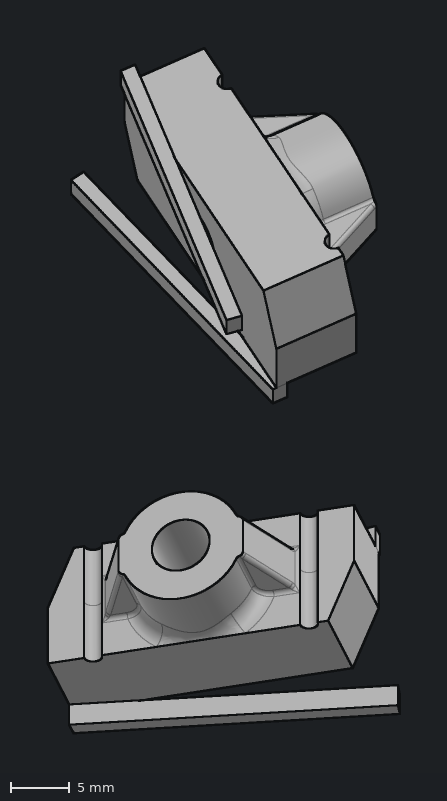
import cadquery as cq
import math

BLOCK_LENGTH = 27.1
BLOCK_DEPTH = 7.75
BLOCK_HEIGHT = 11.34
CORNER_CUT = 2.3

ARM_HEIGHT = 2.05
ARM_THICKNESS = 1.4
ARM_ANGLE = math.radians(9.5)
UPPER_ARM_REACH = 14.0
LOWER_ARM_REACH = 14.24
ARM_TIP_Y = -12.7

HUB_RADIUS = 5.4
HUB_LENGTH = 6.35
HUB_BASE_FILLET = 1.5
BORE_DIAMETER = 5.1

GUSSET_WIDTH = 4.0
GUSSET_TOP_X = 5.5
GUSSET_BASE_X = 8.5
GUSSET_FILLET = 0.4

GROOVE_X = 9.55
GROOVE_RADIUS = 0.78

SELECT_MARGIN = 0.05


def make_block():
    half_length = BLOCK_LENGTH / 2
    half_height = BLOCK_HEIGHT / 2
    outline = [
        (-half_length, half_height),
        (half_length - CORNER_CUT, half_height),
        (half_length, 0),
        (half_length, -half_height),
        (-half_length + CORNER_CUT, -half_height),
        (-half_length, 0),
    ]
    return cq.Workplane("XZ").polyline(outline).close().extrude(BLOCK_DEPTH)


def add_hub(block):
    hub = cq.Workplane("XZ").circle(HUB_RADIUS).extrude(-HUB_LENGTH)
    joined = block.union(hub)
    reach = HUB_RADIUS + SELECT_MARGIN
    base_edge = cq.selectors.BoxSelector(
        (-reach, -SELECT_MARGIN, -reach),
        (reach, SELECT_MARGIN, reach),
        boundingbox=True,
    )
    return joined.edges(base_edge).fillet(HUB_BASE_FILLET)


def make_gusset(side):
    """Tapered rib on one side of the hub; side is +1 or -1."""
    outline = [
        (0, 0),
        (side * GUSSET_BASE_X, 0),
        (side * GUSSET_TOP_X, HUB_LENGTH),
        (0, HUB_LENGTH),
    ]
    return cq.Workplane("XY").polyline(outline).close().extrude(GUSSET_WIDTH / 2, both=True)


def box_around(center_x, center_y, half_x, half_y):
    """Select edges whose centers lie in a box as wide in Z as the gussets."""
    half_z = GUSSET_WIDTH / 2 + SELECT_MARGIN
    return cq.selectors.BoxSelector(
        (center_x - half_x, center_y - half_y, -half_z),
        (center_x + half_x, center_y + half_y, half_z),
    )


def add_gussets(body):
    """Add both gussets, blend them into hub and block, then round their sloped edges."""
    for side in (-1, 1):
        body = body.union(make_gusset(side))

    slope_x = (GUSSET_BASE_X + GUSSET_TOP_X) / 2
    slope_y = HUB_LENGTH / 2
    half_slope = (GUSSET_BASE_X - GUSSET_TOP_X) / 4
    right_slope = box_around(slope_x, slope_y, half_slope, half_slope)
    left_slope = box_around(-slope_x, slope_y, half_slope, half_slope)
    sloped_edges = right_slope + left_slope

    reach_x = GUSSET_BASE_X + SELECT_MARGIN
    below_hub_end = HUB_LENGTH - SELECT_MARGIN
    gusset_edges = box_around(0, below_hub_end / 2, reach_x, below_hub_end / 2 + SELECT_MARGIN)
    body = body.edges(gusset_edges - sloped_edges).fillet(GUSSET_FILLET)
    return body.edges(sloped_edges).fillet(GUSSET_FILLET)


def make_arm(side, reach):
    """Spring arm from the block end to a free end; side +1 lies above, ending at +X, -1 the opposite."""
    across = (ARM_THICKNESS * math.sin(ARM_ANGLE), ARM_THICKNESS * math.cos(ARM_ANGLE))
    front_tip = (reach - across[0], ARM_TIP_Y)
    back_tip = (reach, ARM_TIP_Y + across[1])
    root_x = -BLOCK_LENGTH / 2
    front_root = (root_x, front_tip[1] + (front_tip[0] - root_x) * math.tan(ARM_ANGLE))
    back_root = (root_x, front_root[1] + ARM_THICKNESS / math.cos(ARM_ANGLE))
    corners = [front_tip, back_tip, back_root, front_root]
    outline = [(side * x, y) for x, y in corners]
    start = side * BLOCK_HEIGHT / 2
    return cq.Workplane("XY").workplane(offset=start).polyline(outline).close().extrude(side * ARM_HEIGHT)


def cut_grooves(body):
    grooves = cq.Workplane("XY").pushPoints([(-GROOVE_X, 0), (GROOVE_X, 0)]).circle(GROOVE_RADIUS)
    return body.cut(grooves.extrude(BLOCK_HEIGHT / 2, both=True))


def cut_bore(body):
    bore = cq.Workplane("XZ").workplane(offset=-HUB_LENGTH).circle(BORE_DIAMETER / 2)
    return body.cut(bore.extrude(HUB_LENGTH + BLOCK_DEPTH))


body = add_hub(make_block())
body = add_gussets(body)
body = cut_grooves(body)
body = cut_bore(body)
body = body.union(make_arm(1, UPPER_ARM_REACH)).union(make_arm(-1, LOWER_ARM_REACH))
result = body.solids()